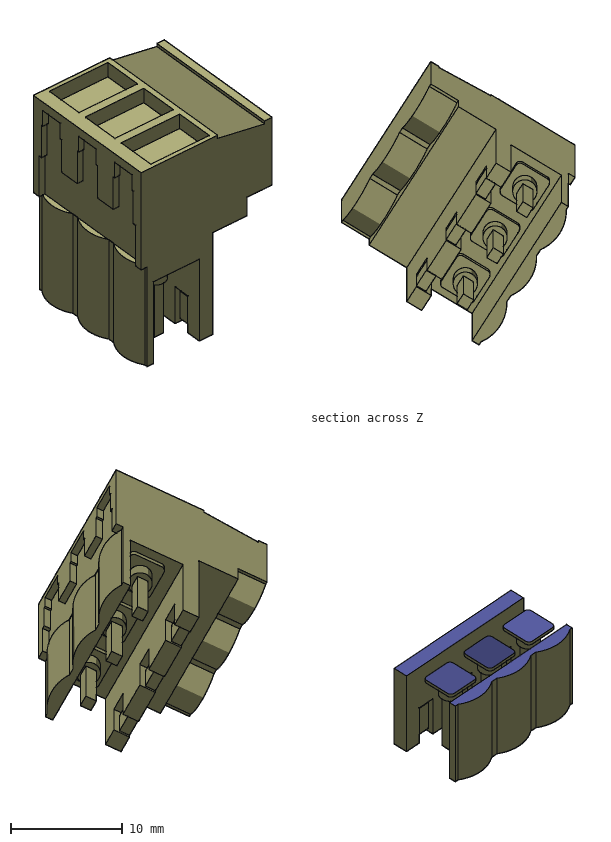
import cadquery as cq

WIDTH = 15.24
DEPTH = 15.3
HEIGHT = 22.05
POLES = 3
PITCH = 5.07

RIDGE_Z = 21.05
RAMP_LOW_Z = 20.73
RAMP_HIGH_Z = 21.7
REAR_UNDERSIDE_Z = 13.47
STEP_Z = 11.4
FRONT_FACE_Z = 11.15
SOCKET_CEILING_Z = 9.17

FRONT_STEP = 0.7
FRONT_WALL_BACK = 1.45
REAR_WALL_FRONT = 6.8
REAR_WALL_BACK = 8.38
RAMP_START = 8.93
STEP_BACK = 12.37
RIDGE_WIDTH = 0.88

LOBE_WIDTH = 4.4
LOBE_RISE = 0.66

BULGE_WIDTH = 4.59
BULGE_DROP = 1.1

RECESS_DEPTH = 0.66
RECESS_WIDTH = 13.58
RECESS_TOP_Z = 15.7
FINGER_WIDTH = 2.82
FINGER_TOP_Z = 19.32
TIP_WIDTH = 2.47
TIP_TOP_Z = 21.08

POCKET_WIDTH = 4.2
POCKET_LENGTH = 6.84
POCKET_DEPTH = 1.6
POCKET_FRONT = 1.5

SLOT_WIDTH = 1.76
SLOT_HEIGHT = 4.15
KEY_SETBACK = 0.57
KEY_LIFT = 0.33
KEY_HEIGHT = 3.06

PIN_BACK = 3.75
FLANGE_SIZE = 3.48
FLANGE_FILLET = 0.45
FLANGE_THICKNESS = 0.62
BARREL_DIAMETER = 2.18
BARREL_LENGTH = 1.5
BLADE_SIZE = 1.08
BLADE_BOTTOM_Z = 0.97

FRONT = -DEPTH / 2
POLE_XS = [(i - (POLES - 1) / 2) * PITCH for i in range(POLES)]


def box(width, near, far, z_min, z_max, x=0.0):
    """Box centred on x, from near to far behind the front face and from z_min to z_max."""
    return (
        cq.Workplane("XY")
        .box(width, far - near, z_max - z_min, centered=(True, False, False))
        .translate((x, FRONT + near, z_min))
    )


def side_profile():
    points = [
        (FRONT_STEP, 0),
        (FRONT_WALL_BACK, 0),
        (FRONT_WALL_BACK, SOCKET_CEILING_Z),
        (REAR_WALL_FRONT, SOCKET_CEILING_Z),
        (REAR_WALL_FRONT, 0),
        (REAR_WALL_BACK, 0),
        (REAR_WALL_BACK, STEP_Z),
        (STEP_BACK, STEP_Z),
        (STEP_BACK, REAR_UNDERSIDE_Z),
        (DEPTH, REAR_UNDERSIDE_Z),
        (DEPTH, RIDGE_Z),
        (DEPTH - RIDGE_WIDTH, RIDGE_Z),
        (DEPTH - RIDGE_WIDTH, RAMP_LOW_Z),
        (RAMP_START, RAMP_HIGH_Z),
        (RAMP_START, HEIGHT),
        (0, HEIGHT),
        (0, FRONT_FACE_Z),
        (FRONT_STEP, FRONT_FACE_Z),
    ]
    return (
        cq.Workplane("YZ")
        .polyline([(FRONT + back, z) for back, z in points])
        .close()
        .extrude(WIDTH / 2, both=True)
    )


def front_lobe(x):
    wall = FRONT + FRONT_STEP
    return (
        cq.Workplane("XY")
        .moveTo(x - LOBE_WIDTH / 2, wall)
        .threePointArc((x, wall - LOBE_RISE), (x + LOBE_WIDTH / 2, wall))
        .close()
        .extrude(FRONT_FACE_Z)
    )


def entry_bulge(x):
    lowest = (x, REAR_UNDERSIDE_Z - BULGE_DROP)
    return (
        cq.Workplane("XZ", origin=(0, FRONT + DEPTH, 0))
        .moveTo(x - BULGE_WIDTH / 2, REAR_UNDERSIDE_Z)
        .threePointArc(lowest, (x + BULGE_WIDTH / 2, REAR_UNDERSIDE_Z))
        .close()
        .extrude(DEPTH - STEP_BACK)
    )


def front_recess():
    recess = box(RECESS_WIDTH, 0, RECESS_DEPTH, FRONT_FACE_Z, RECESS_TOP_Z)
    for x in POLE_XS:
        recess = recess.union(box(FINGER_WIDTH, 0, RECESS_DEPTH, RECESS_TOP_Z, FINGER_TOP_Z, x))
        recess = recess.union(box(TIP_WIDTH, 0, RECESS_DEPTH, FINGER_TOP_Z, TIP_TOP_Z, x))
    return recess


def screw_pocket(x):
    pocket_back = POCKET_FRONT + POCKET_LENGTH
    return box(POCKET_WIDTH, POCKET_FRONT, pocket_back, HEIGHT - POCKET_DEPTH, HEIGHT, x)


def key_slot(x):
    return box(SLOT_WIDTH, REAR_WALL_FRONT, REAR_WALL_BACK, 0, SLOT_HEIGHT, x)


def make_housing():
    body = side_profile().cut(front_recess())
    for x in POLE_XS:
        body = body.union(front_lobe(x)).union(entry_bulge(x))
        body = body.cut(screw_pocket(x)).cut(key_slot(x))
    return body


def make_key(x):
    """Block that fills the width of a slot, set back from the slot's mouth."""
    key_front = REAR_WALL_FRONT + KEY_SETBACK
    return box(SLOT_WIDTH, key_front, REAR_WALL_BACK, KEY_LIFT, KEY_LIFT + KEY_HEIGHT, x)


def make_pin(x):
    """Contact pin under the socket ceiling: rounded square flange, round barrel, square blade."""
    flange_z = SOCKET_CEILING_Z - FLANGE_THICKNESS
    barrel_z = flange_z - BARREL_LENGTH
    centre = (x, FRONT + PIN_BACK)
    flange = (
        cq.Workplane("XY", origin=(*centre, flange_z))
        .rect(FLANGE_SIZE, FLANGE_SIZE)
        .extrude(FLANGE_THICKNESS)
        .edges("|Z")
        .fillet(FLANGE_FILLET)
    )
    barrel = (
        cq.Workplane("XY", origin=(*centre, barrel_z))
        .circle(BARREL_DIAMETER / 2)
        .extrude(BARREL_LENGTH)
    )
    blade = (
        cq.Workplane("XY", origin=(*centre, BLADE_BOTTOM_Z))
        .rect(BLADE_SIZE, BLADE_SIZE)
        .extrude(barrel_z - BLADE_BOTTOM_Z)
    )
    return flange.union(barrel).union(blade)


housing = make_housing()
keys = [make_key(x).val() for x in POLE_XS]
pins = [make_pin(x).val() for x in POLE_XS]
result = cq.Compound.makeCompound([housing.val(), *keys, *pins])